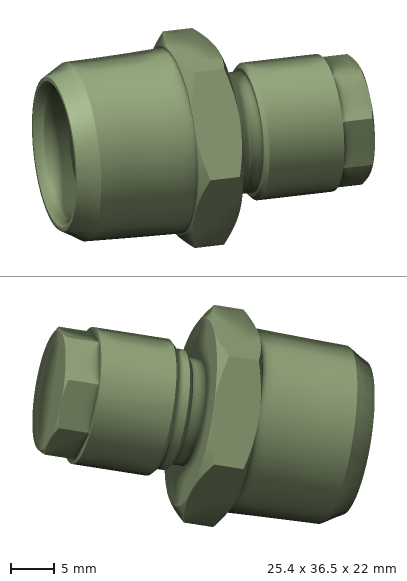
import cadquery as cq
import math


end_chamfer_length = 2.5
end_chamfer_angle = 30.0
thread_length = 14.0
thread_root_radius = 10.78
thread_taper = 1 / 32

bore_radius = 7.5
bore_mouth_radius = 8.5
bore_chamfer_length = 1.0
bore_depth = 4.0

hexagon_across_flats = 22.0
hexagon_length = 5.5

neck_radius = 6.25
neck_length = 1.5
collar_radius = 7.05
collar_length = 2.0
collar_chamfer_length = 0.6
sleeve_radius = 8.0
sleeve_length = 9.5
sleeve_chamfer = 0.5

cap_across_flats = 14.0
cap_length = 4.0

corner_chamfer_angle = 30.0

hexagon_start = thread_length
neck_start = hexagon_start + hexagon_length
collar_start = neck_start + neck_length
sleeve_start = collar_start + collar_length
cap_start = sleeve_start + sleeve_length
cap_end = cap_start + cap_length


def revolve_about_y(profile):
    """Full turn of a closed (radius, y) outline about the Y axis."""
    return cq.Workplane("XY").polyline(profile).close().revolve(360, (0, 0, 0), (0, 1, 0))


def prism_along_y(sides, across_flats, turn, start, length):
    """Regular prism from y = start to start + length, with its first corner turned from +X."""
    corner_diameter = across_flats / math.cos(math.pi / sides)
    prism = cq.Workplane("XZ", origin=(0, start, 0)).polygon(sides, corner_diameter).extrude(-length)
    return prism.rotate((0, 0, 0), (0, 1, 0), turn)


def corner_chamfer_drop(sides, across_flats):
    """Length of the corner chamfer whose cone is tangent to the flats at the end face."""
    flat_radius = across_flats / 2
    corner_radius = flat_radius / math.cos(math.pi / sides)
    return (corner_radius - flat_radius) * math.tan(math.radians(corner_chamfer_angle))


def make_thread_end():
    chamfer_radius = thread_root_radius - (thread_length - end_chamfer_length) * thread_taper
    face_radius = chamfer_radius - end_chamfer_length * math.tan(math.radians(end_chamfer_angle))
    return revolve_about_y([
        (0, 0),
        (face_radius, 0),
        (chamfer_radius, end_chamfer_length),
        (thread_root_radius, thread_length),
        (0, thread_length),
    ])


def make_bore():
    return revolve_about_y([
        (0, 0),
        (bore_mouth_radius, 0),
        (bore_radius, bore_chamfer_length),
        (bore_radius, bore_depth),
        (0, bore_depth),
    ])


def make_hexagon():
    """Hexagon with corners on the X axis, chamfered at both ends."""
    sides = 6
    flat_radius = hexagon_across_flats / 2
    corner_radius = flat_radius / math.cos(math.pi / sides)
    drop = corner_chamfer_drop(sides, hexagon_across_flats)
    envelope = revolve_about_y([
        (0, hexagon_start),
        (flat_radius, hexagon_start),
        (corner_radius, hexagon_start + drop),
        (corner_radius, neck_start - drop),
        (flat_radius, neck_start),
        (0, neck_start),
    ])
    return prism_along_y(sides, hexagon_across_flats, 0, hexagon_start, hexagon_length).intersect(envelope)


def make_neck_and_sleeve():
    return revolve_about_y([
        (0, neck_start),
        (neck_radius, neck_start),
        (neck_radius, collar_start),
        (collar_radius, collar_start + collar_chamfer_length),
        (collar_radius, sleeve_start),
        (sleeve_radius - sleeve_chamfer, sleeve_start),
        (sleeve_radius, sleeve_start + sleeve_chamfer),
        (sleeve_radius, cap_start),
        (0, cap_start),
    ])


def make_cap():
    """Octagon with flats facing X and Z, chamfered at its free end."""
    sides = 8
    flat_radius = cap_across_flats / 2
    corner_radius = flat_radius / math.cos(math.pi / sides)
    drop = corner_chamfer_drop(sides, cap_across_flats)
    envelope = revolve_about_y([
        (0, cap_start),
        (corner_radius, cap_start),
        (corner_radius, cap_end - drop),
        (flat_radius, cap_end),
        (0, cap_end),
    ])
    half_side_turn = 180 / sides
    return prism_along_y(sides, cap_across_flats, half_side_turn, cap_start, cap_length).intersect(envelope)


body = make_thread_end().union(make_hexagon()).union(make_neck_and_sleeve()).union(make_cap())
result = body.cut(make_bore())